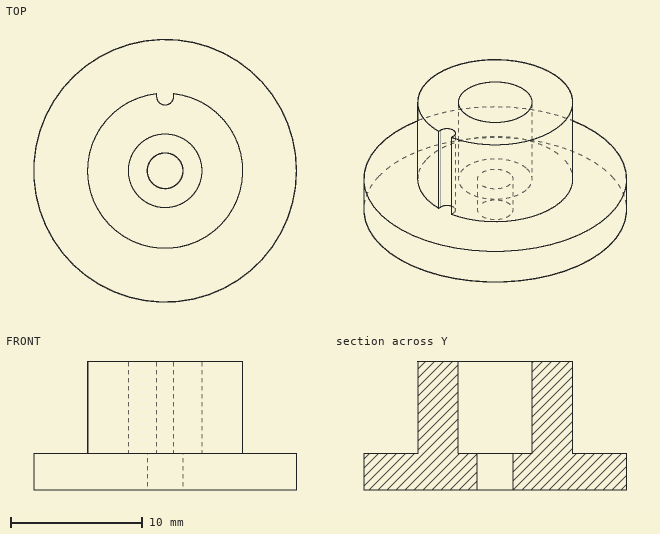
import cadquery as cq

flange_diameter = 20
flange_height = 2.8
hub_diameter = 11.8
total_height = 9.8
bore_diameter = 5.6
through_hole_diameter = 2.7
notch_width = 1.28
notch_floor_radius = 5

hub_height = total_height - flange_height

body = (
    cq.Workplane("XY")
    .circle(flange_diameter / 2)
    .extrude(flange_height)
    .faces(">Z")
    .workplane()
    .circle(hub_diameter / 2)
    .extrude(hub_height)
)

body = body.faces(">Z").workplane().cboreHole(through_hole_diameter, bore_diameter, hub_height)


def hub_notch():
    """Round-bottomed key notch along the +Y side of the hub."""
    half_width = notch_width / 2
    arc_center_y = notch_floor_radius + half_width
    outer_y = flange_diameter / 2
    return (
        cq.Workplane("XY")
        .workplane(offset=flange_height)
        .moveTo(-half_width, outer_y)
        .lineTo(-half_width, arc_center_y)
        .threePointArc((0, notch_floor_radius), (half_width, arc_center_y))
        .lineTo(half_width, outer_y)
        .close()
        .extrude(hub_height)
    )


result = body.cut(hub_notch())